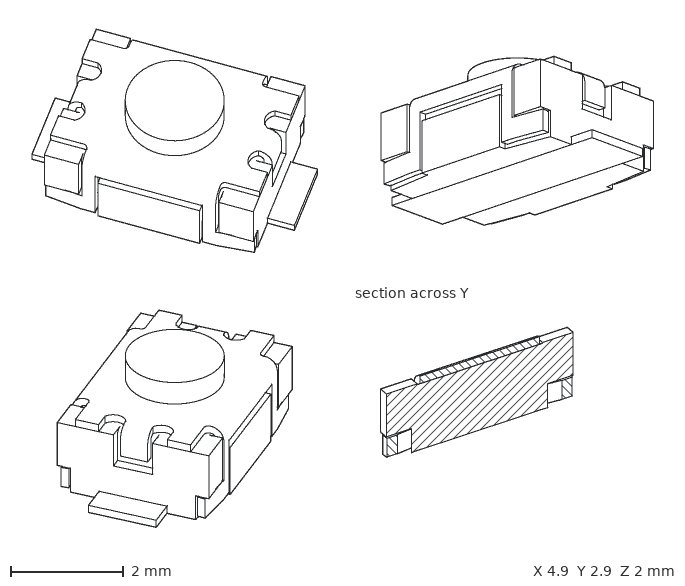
import cadquery as cq
import math

total_length = 4.9
housing_length = 3.9
housing_width = 2.9
cover_top = 1.55
button_top = 2.0
button_diameter = 1.755

sheet = 0.145
outer_bend = 0.25
inner_bend = outer_bend - sheet
housing_top = cover_top - sheet
half_length = housing_length / 2
half_width = housing_width / 2

wall_length = 2.5
wall_bottom = 0.075
plate_width = 2.205
corner_fillet = 0.085
window_length = 2.0
window_top = 1.165
wing_top = 0.475
wing_angle = 6.0
wing_bend = 0.2

tab_width = 0.52
tab_bottom = 0.955
tab_span = 3.8
relief_width = 1.315
relief_bulge = 0.12

wall_gap = 0.06
wall_recess_length = wall_length + 2 * wall_gap
block_length = 1.9
block_top = 0.99
pocket_width = 0.75
pocket_bottom = 0.75
wing_notch_top = 0.5
wing_notch_inner_depth = 0.14
wing_notch_end_depth = 0.255

terminal_width = 1.3
terminal_thickness = 0.15


def block(length, width, bottom, top):
    """Box centred on the Z axis between two heights."""
    return cq.Workplane("XY").workplane(offset=bottom).rect(length, width).extrude(top - bottom)


def rounded_block(length, width, bottom, top, radius, axis):
    """Box with its two top edges along the named axis rounded."""
    return block(length, width, bottom, top).faces(">Z").edges(f"|{axis}").fillet(radius)


def at_four_corners(solid):
    """The solid at the +X +Y corner and its mirror images at the other corners."""
    pair = [solid, solid.mirror("YZ")]
    return pair + [half.mirror("XZ") for half in pair]


def make_wing():
    """Wing of the +X +Y corner, bent inward around a vertical axis at the wall end."""
    axis_x = wall_length / 2
    axis_y = half_width - wing_bend
    angle = math.radians(wing_angle)
    inner_radius = wing_bend - sheet
    straight = (half_length - axis_x - wing_bend * math.sin(angle)) / math.cos(angle)

    def point(radius, turn, along=0.0):
        x = axis_x + radius * math.sin(turn) + along * math.cos(turn)
        y = axis_y + radius * math.cos(turn) - along * math.sin(turn)
        return (x, y)

    return (
        cq.Workplane("XY").workplane(offset=wall_bottom)
        .moveTo(*point(wing_bend, 0))
        .threePointArc(point(wing_bend, angle / 2), point(wing_bend, angle))
        .lineTo(*point(wing_bend, angle, straight))
        .lineTo(*point(inner_radius, angle, straight))
        .lineTo(*point(inner_radius, angle))
        .threePointArc(point(inner_radius, angle / 2), point(inner_radius, 0))
        .close()
        .extrude(wing_top - wall_bottom)
    )


def make_relief():
    """Cut-out at the +X end of the top plate: two notches with bulged inner ends."""
    inner_x = tab_span / 2 - outer_bend
    outer_y = relief_width / 2
    inner_y = tab_width / 2
    middle_y = (outer_y + inner_y) / 2
    bulge_x = inner_x - relief_bulge
    return (
        cq.Workplane("XY").workplane(offset=housing_top)
        .moveTo(half_length, outer_y)
        .lineTo(inner_x, outer_y)
        .threePointArc((bulge_x, middle_y), (inner_x, inner_y))
        .lineTo(inner_x, -inner_y)
        .threePointArc((bulge_x, -middle_y), (inner_x, -outer_y))
        .lineTo(half_length, -outer_y)
        .close()
        .extrude(sheet)
    )


def make_cover():
    plate = block(housing_length, plate_width, housing_top, cover_top)
    plate = plate.union(block(wall_length, housing_width - 2 * outer_bend, housing_top, cover_top))
    corner_zone = cq.selectors.BoxSelector(
        (-half_length + corner_fillet, -half_width + outer_bend + corner_fillet, housing_top),
        (half_length - corner_fillet, half_width - outer_bend - corner_fillet, cover_top),
    )
    plate = plate.edges("|Z").edges(corner_zone).fillet(corner_fillet)
    relief = make_relief()
    plate = plate.cut(relief).cut(relief.mirror("YZ"))

    inside_width = housing_width - 2 * sheet
    walls = rounded_block(wall_length, housing_width, wall_bottom, cover_top, outer_bend, "X")
    walls = walls.cut(rounded_block(wall_length, inside_width, wall_bottom, housing_top, inner_bend, "X"))
    walls = walls.cut(block(window_length, housing_width, wall_bottom, window_top))

    tabs = rounded_block(tab_span, tab_width, tab_bottom, cover_top, outer_bend, "Y")
    inside_span = tab_span - 2 * sheet
    tabs = tabs.cut(rounded_block(inside_span, tab_width, tab_bottom, housing_top, inner_bend, "Y"))

    cover = plate.union(walls).union(tabs)
    for wing in at_four_corners(make_wing()):
        cover = cover.union(wing)
    return cover.cut(make_button())


def make_wing_notch():
    """Notch under the +X +Y housing corner, its floor sloping in toward the end."""
    inner_x = block_length / 2
    outline = [
        (inner_x, half_width),
        (inner_x, half_width - wing_notch_inner_depth),
        (half_length, half_width - wing_notch_end_depth),
        (half_length, half_width),
    ]
    return cq.Workplane("XY").polyline(outline).close().extrude(wing_notch_top)


def make_housing():
    housing = block(housing_length, housing_width, 0, housing_top)

    recess = block(wall_recess_length, housing_width, wing_notch_top, housing_top)
    core_width = housing_width - 2 * sheet
    core = rounded_block(wall_recess_length, core_width, wing_notch_top, housing_top, inner_bend, "X")
    recess = recess.cut(core)
    recess = recess.cut(block(block_length, housing_width, wing_notch_top, block_top))
    housing = housing.cut(recess)

    pocket = block(housing_length, pocket_width, pocket_bottom, housing_top)
    core_length = tab_span - 2 * sheet
    core = rounded_block(core_length, pocket_width, pocket_bottom, housing_top, inner_bend, "Y")
    pocket = pocket.cut(core)
    housing = housing.cut(pocket)

    for notch in at_four_corners(make_wing_notch()):
        housing = housing.cut(notch)
    return housing.cut(make_terminal())


def make_button():
    """Round button standing on the housing and passing through the cover."""
    button = cq.Workplane("XY").workplane(offset=housing_top).circle(button_diameter / 2)
    return button.extrude(button_top - housing_top)


def make_terminal():
    """Flat strip let into the underside of the housing and sticking out at both ends."""
    return block(total_length, terminal_width, 0, terminal_thickness)


housing = make_housing().solids()
cover = make_cover().solids()
button = make_button().solids()
terminal = make_terminal().solids()

result = cq.Compound.makeCompound([housing.val(), cover.val(), button.val(), terminal.val()])